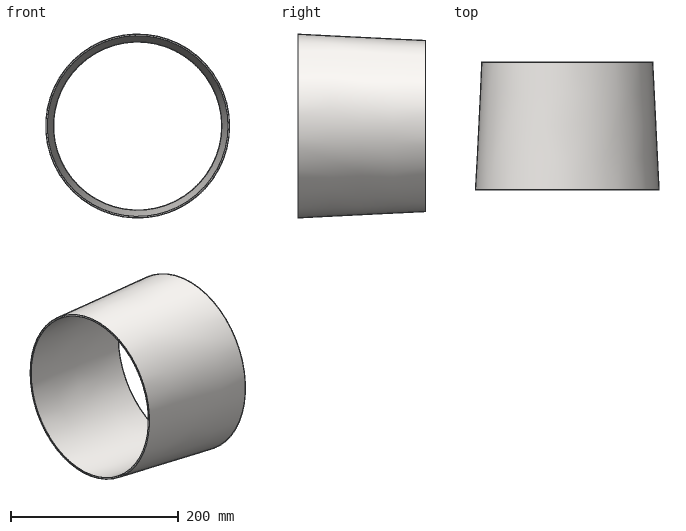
import cadquery as cq

large_diameter = 219.0
small_diameter = 204.0
length = 152.0
wall = 2.0

large_radius = large_diameter / 2
small_radius = small_diameter / 2

wall_section = (
    cq.Workplane("XY")
    .moveTo(large_radius - wall, 0)
    .lineTo(large_radius, 0)
    .lineTo(small_radius, length)
    .lineTo(small_radius - wall, length)
    .close()
)

result = wall_section.revolve(360, (0, 0, 0), (0, 1, 0))